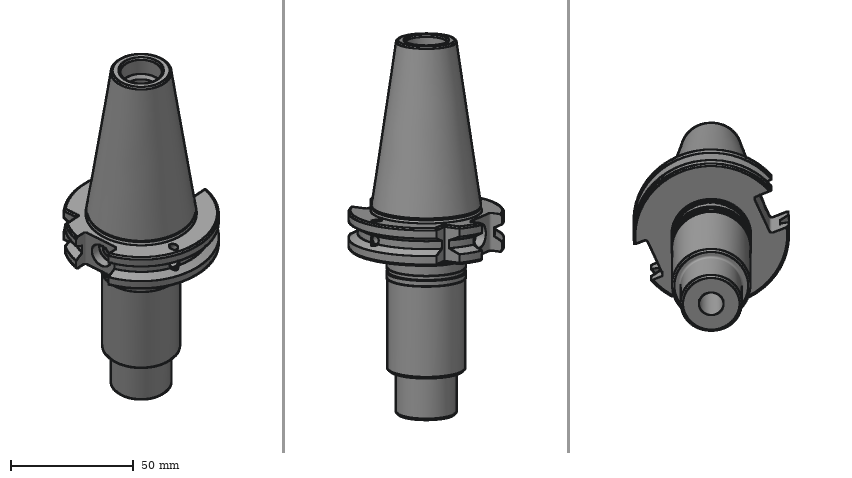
import cadquery as cq
import math

total_length = 156.8
taper_length = 68.3
nose_end = taper_length - total_length

gauge_radius = 22.3
taper_ratio = 7 / 24
tip_chamfer = 0.8
taper_end = -1.1
undercut_radius = 22.0
undercut_z = -2.0
taper_foot_radius = 22.7

flange_diameter = 63.5
flange_radius = flange_diameter / 2
flange_top = -3.1
flange_bottom = -19.0
flange_chamfer = 0.8
groove_centre = -11.0
groove_floor_radius = 28.0
groove_floor_width = 3.3
groove_mouth_width = 7.4

slot_width = 17.4
slot_fillet = 1.1
front_slot_floor = 25.0
back_slot_floor = 22.5
cutout_x = -18.8
cutout_y = -18.7

body_radius = 16.0
ring_radius = 16.3
ring_groove_radius = 15.8
ring_bevel = 0.3
ring_grooves = [(-20.0, -20.8), (-21.2, -22.5), (-26.6, -28.8)]
rings_end = -31.0
body_end = -70.0
body_chamfer = 1.0
nose_diameter = 25.0
nose_radius = nose_diameter / 2
nose_fillet = 1.0
nose_chamfer = 1.0

mouth_radius = 8.5
mouth_chamfer = 0.8
mouth_depth = 7.8
thread_radius = 6.9
thread_depth = 31.4
pilot_radius = 6.7
through_radius = 5.0
pilot_end = -24.5
drill_half_angle = math.radians(59)

coolant_angle = 160
coolant_diameter = 3.3
coolant_start_radius = 27.1
coolant_exit_radius = 5.8
coolant_exit_z = -25.1
plug_diameter = 3.9
plug_countersink = 0.5
plug_depth = 8.8

tool_clearance = 3.1

pocket_diameter = 10.0
pocket_depth = 4.5
pocket_pilot_diameter = 6.0
pocket_pilot_depth = 1.5


def revolve_profile(points):
    """Revolve a closed outline of (radius, z) points about the Z axis."""
    return cq.Workplane("XZ").polyline(points).close().revolve(360, (0, 0, 0), (0, 1, 0))


def taper_radius(z):
    """Radius of the taper at height z."""
    return gauge_radius - z * taper_ratio / 2


def make_taper():
    """Taper with a chamfered tip and an undercut above the flange."""
    chamfer_z = taper_length - tip_chamfer
    return revolve_profile([
        (0, taper_length),
        (taper_radius(chamfer_z) - tip_chamfer, taper_length),
        (taper_radius(chamfer_z), chamfer_z),
        (taper_radius(taper_end), taper_end),
        (undercut_radius, undercut_z),
        (taper_foot_radius, flange_top),
        (0, flange_top),
    ])


def make_flange():
    """Flange disc with the corner cutout, chamfered rims and the V-groove."""
    height = flange_top - flange_bottom
    blank = (
        cq.Workplane("XY", origin=(0, 0, flange_bottom))
        .circle(flange_radius)
        .extrude(height)
    )
    cutout = (
        cq.Workplane("XY", origin=(cutout_x, cutout_y, flange_bottom))
        .rect(-flange_radius, -flange_radius, centered=False)
        .extrude(height)
    )
    blank = blank.cut(cutout).faces(">Z or <Z").chamfer(flange_chamfer)
    return blank.cut(make_groove())


def make_groove():
    """Ring that cuts the V-groove into the flange rim."""
    mouth = groove_mouth_width / 2
    floor = groove_floor_width / 2
    clearance_radius = flange_radius + tool_clearance
    return revolve_profile([
        (clearance_radius, groove_centre + mouth),
        (flange_radius, groove_centre + mouth),
        (groove_floor_radius, groove_centre + floor),
        (groove_floor_radius, groove_centre - floor),
        (flange_radius, groove_centre - mouth),
        (clearance_radius, groove_centre - mouth),
    ])


def make_slot(floor_distance, side):
    """Drive slot cut through the flange; side is +1 for +Y and -1 for -Y."""
    depth = flange_radius
    return (
        cq.Workplane("XY", origin=(0, side * (floor_distance + depth / 2), flange_bottom))
        .rect(slot_width, depth)
        .extrude(flange_top - flange_bottom)
        .faces("<Y" if side > 0 else ">Y")
        .edges("|Z")
        .fillet(slot_fillet)
    )


def make_body():
    """Cylindrical body with ring grooves, stepping down to the nose."""
    points = [(0, flange_bottom), (ring_radius, flange_bottom)]
    for top, bottom in ring_grooves:
        points += [
            (ring_radius, top),
            (ring_groove_radius, top - ring_bevel),
            (ring_groove_radius, bottom + ring_bevel),
            (ring_radius, bottom),
        ]
    outline = cq.Workplane("XZ").polyline(points + [
        (ring_radius, rings_end),
        (body_radius, rings_end - ring_bevel),
        (body_radius, body_end + body_chamfer),
        (body_radius - body_chamfer, body_end),
        (nose_radius + nose_fillet, body_end),
    ])
    outline = outline.radiusArc((nose_radius, body_end - nose_fillet), -nose_fillet)
    outline = (
        outline.lineTo(nose_radius, nose_end + nose_chamfer)
        .lineTo(nose_radius - nose_chamfer, nose_end)
        .lineTo(0, nose_end)
        .close()
    )
    return outline.revolve(360, (0, 0, 0), (0, 1, 0))


def make_bore():
    """Through bore: chamfered mouth, thread bore, pilot and the narrow shank bore."""
    cone_height = (pilot_radius - through_radius) / math.tan(drill_half_angle)
    mouth_floor = taper_length - mouth_depth
    thread_end = taper_length - thread_depth
    return revolve_profile([
        (0, taper_length),
        (mouth_radius + mouth_chamfer, taper_length),
        (mouth_radius, taper_length - mouth_chamfer),
        (mouth_radius, mouth_floor),
        (thread_radius, mouth_floor - (mouth_radius - thread_radius)),
        (thread_radius, thread_end),
        (pilot_radius, thread_end),
        (pilot_radius, pilot_end),
        (through_radius, pilot_end - cone_height),
        (through_radius, nose_end),
        (0, nose_end),
    ])


def make_coolant_channel():
    """Slanted channel from the flange face to the bore, in the +X half of the XZ plane."""
    start = cq.Vector(coolant_start_radius, 0, flange_top)
    end = cq.Vector(coolant_exit_radius, 0, coolant_exit_z)
    path = end - start
    direction = path.normalized()
    channel = cq.Solid.makeCylinder(
        coolant_diameter / 2,
        path.Length + tool_clearance,
        start - direction * tool_clearance,
        direction,
    )
    return cq.Workplane(obj=channel)


def make_plug_hole():
    """Countersunk radial hole from the groove floor to the coolant channel, along +X."""
    radius = plug_diameter / 2
    length = flange_radius - groove_floor_radius + plug_depth
    hole = revolve_profile([
        (0, 0),
        (radius, 0),
        (radius, plug_depth - plug_countersink),
        (radius + plug_countersink, plug_depth),
        (radius + plug_countersink, length),
        (0, length),
    ])
    hole = hole.rotate((0, 0, 0), (0, 1, 0), 90)
    return hole.translate((groove_floor_radius - plug_depth, 0, groove_centre))


def make_pocket():
    """Round pocket with a drilled pilot in the floor of the front slot."""
    cone_depth = pocket_pilot_diameter / 2 / math.tan(drill_half_angle)
    pilot_end = pocket_depth + pocket_pilot_depth
    profile = [
        (0, 0),
        (pocket_diameter / 2, 0),
        (pocket_diameter / 2, -pocket_depth),
        (pocket_pilot_diameter / 2, -pocket_depth),
        (pocket_pilot_diameter / 2, -pilot_end),
        (0, -pilot_end - cone_depth),
    ]
    pocket = revolve_profile(profile).rotate((0, 0, 0), (1, 0, 0), 90)
    return pocket.translate((0, -front_slot_floor, groove_centre))


flange = make_flange()
flange = flange.cut(make_slot(front_slot_floor, -1))
flange = flange.cut(make_slot(back_slot_floor, 1))

result = flange.union(make_taper()).union(make_body())
result = result.cut(make_bore()).cut(make_pocket())
for angle in (coolant_angle, coolant_angle + 180):
    for hole in (make_coolant_channel(), make_plug_hole()):
        result = result.cut(hole.rotate((0, 0, 0), (0, 0, 1), angle))